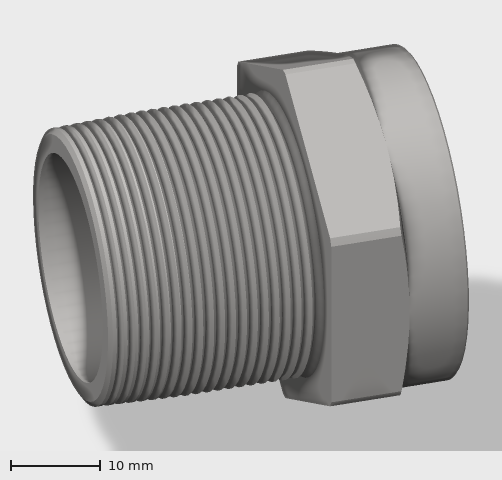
import cadquery as cq
import math

across_flats = 38.1
corner_radius = 21.7
hex_length = 9.1
hex_chamfer_length = 0.95

collar_radius = across_flats / 2
collar_length = 6.95
collar_chamfer = 0.2

spigot_length = 24.85
half_pitch_count = 39
shoulder_length = 0.075
crest_radius = 16.15
root_radius = 15.15
half_pitch = (spigot_length - shoulder_length) / half_pitch_count
flank_slope = (crest_radius - root_radius) / half_pitch
shoulder_radius = crest_radius + shoulder_length * flank_slope

taper_length = 10.42
taper_end_radius = 15.75

bore_radius = 13.05

collar_start = hex_length
collar_end = collar_start + collar_length
spigot_end = -spigot_length


def revolve_about_y(points):
    """Turn a closed (radius, y) outline, starting above the axis, about the Y axis."""
    return cq.Workplane("ZY").polyline(points).close().revolve(360, (0, 0, 0), (0, 1, 0))


def hexagon():
    """Hexagonal prism with its corners and rear chamfer turned on the Y axis."""
    corner_to_corner = across_flats / math.cos(math.radians(30))
    prism = (
        cq.Workplane("XZ")
        .transformed(rotate=(0, 0, 90))
        .polygon(6, corner_to_corner)
        .extrude(-hex_length)
    )
    turned_envelope = revolve_about_y([
        (0, 0),
        (corner_radius, 0),
        (corner_radius, hex_length - hex_chamfer_length),
        (collar_radius, hex_length),
        (0, hex_length),
    ])
    return prism.intersect(turned_envelope)


def collar():
    """Round collar with a small chamfer on its free edge."""
    return revolve_about_y([
        (0, collar_start),
        (collar_radius, collar_start),
        (collar_radius, collar_end - collar_chamfer),
        (collar_radius - collar_chamfer, collar_end),
        (0, collar_end),
    ])


def threaded_spigot():
    """Spigot of V-shaped rings whose crests are trimmed by a cone at the free end."""
    outline = [(0, 0), (shoulder_radius, 0)]
    for step in range(1, half_pitch_count + 1):
        radius = crest_radius if step % 2 == 0 else root_radius
        outline.append((radius, -shoulder_length - step * half_pitch))
    outline.append((0, spigot_end))

    taper_envelope = revolve_about_y([
        (0, spigot_end),
        (taper_end_radius, spigot_end),
        (crest_radius, spigot_end + taper_length),
        (shoulder_radius, 0),
        (0, 0),
    ])
    return revolve_about_y(outline).intersect(taper_envelope)


def bore():
    """Plain hole through the whole length."""
    return (
        cq.Workplane("XZ", origin=(0, collar_end, 0))
        .circle(bore_radius)
        .extrude(collar_end - spigot_end)
    )


result = hexagon().union(collar()).union(threaded_spigot()).cut(bore())